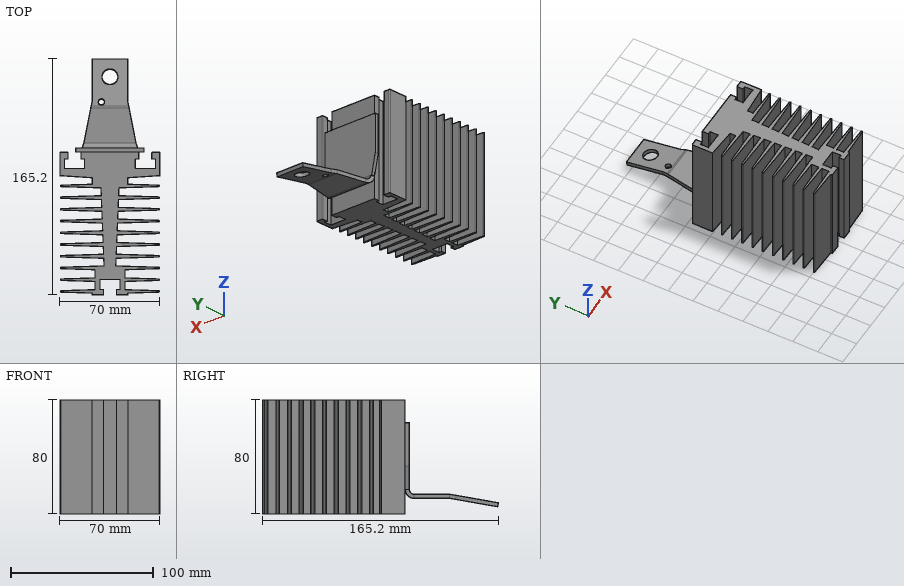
import cadquery as cq
import math


overall_length = 165.2

sink_width = 70.0
sink_depth = 100.0
sink_height = 80.0

slot_mouth = 9.0
slot_cavity = 13.9
slot_depth = 11.4
slot_lip = 5.0
hook_radius = 0.7
foot_slot_depth = 10.7
foot_slot_lip = 4.0
slot_offset = 24.8

flange_edge_depth = 16.5
flange_root_depth = 18.0
neck_width = 25.0

fin_count = 10
fin_span = 69.0
fin_tip_thickness = 1.2
fin_tip_radius = 0.5
fin_centre_thickness = 3.3
first_fin_y = 2.5
last_fin_y = 76.3
fin_pitch = (last_fin_y - first_fin_y) / (fin_count - 1)
core_width_at_head = 12.9
core_width_at_foot = 8.3
foot_box_width = 21.1
foot_box_fins = 3
foot_box_top = first_fin_y + (foot_box_fins - 1) * fin_pitch
foot_width = 25.0

sheet = 3.0
bend_inner = 3.3
bend_outer = bend_inner + sheet
plate_width = 47.9
plate_top = 64.0
plate_taper_start = 33.5
leg_top = 13.9
leg_length = 28.1
bend_start_width = 41.0
leg_start_width = 36.7
leg_end_width = 27.0
taper_length = 32.7
tab_width = 25.0
tab_tilt = 10.0
terminal_hole = 11.0
terminal_hole_setback = 12.5
pilot_hole = 4.3
pilot_hole_spacing = 17.8
pilot_hole_offset = 6.0


def sink_prism(points):
    """Close an XY outline and extrude it over the height of the sink."""
    return cq.Workplane("XY").polyline(points).close().extrude(sink_height)


def sink_block(width, y_low, y_high, x_centre=0.0):
    """Rectangular bar over the height of the sink."""
    bar = cq.Workplane("XY").center(x_centre, (y_low + y_high) / 2)
    return bar.rect(width, y_high - y_low).extrude(sink_height)


def fin_core():
    """Core between the fins, widening from the foot box to the head."""
    foot_half = core_width_at_foot / 2
    head_half = core_width_at_head / 2
    return sink_prism([
        (-foot_half, foot_box_top),
        (foot_half, foot_box_top),
        (head_half, last_fin_y),
        (-head_half, last_fin_y),
    ])


def fin_pair(y):
    """Left and right fin in one bar, thinning towards both rounded tips."""
    tip = fin_tip_thickness / 2
    middle = fin_centre_thickness / 2
    half_span = fin_span / 2
    fins = sink_prism([
        (-half_span, y - tip),
        (0, y - middle),
        (half_span, y - tip),
        (half_span, y + tip),
        (0, y + middle),
        (-half_span, y + tip),
    ])
    return fins.edges("|Z and (<X or >X)").fillet(fin_tip_radius)


def head_flange():
    """Head block with an underside that slopes towards the neck."""
    edge_y = sink_depth - flange_edge_depth
    root_y = sink_depth - flange_root_depth
    return sink_prism([
        (-sink_width / 2, sink_depth),
        (-sink_width / 2, edge_y),
        (-neck_width / 2, root_y),
        (neck_width / 2, root_y),
        (sink_width / 2, edge_y),
        (sink_width / 2, sink_depth),
    ])


def make_heat_sink():
    sink = head_flange()
    sink = sink.union(sink_block(neck_width, last_fin_y, sink_depth - flange_root_depth))
    sink = sink.union(fin_core())
    sink = sink.union(sink_block(foot_box_width, 0, foot_box_top))
    sink = sink.union(sink_block(foot_width, 0, first_fin_y))
    for index in range(fin_count):
        sink = sink.union(fin_pair(first_fin_y + index * fin_pitch))

    for side in (-1, 1):
        x = side * slot_offset
        sink = sink.cut(sink_block(slot_mouth, sink_depth - slot_lip, sink_depth, x))
        sink = sink.cut(sink_block(slot_cavity, sink_depth - slot_depth, sink_depth - slot_lip, x))
    sink = sink.cut(sink_block(slot_mouth, 0, foot_slot_lip))
    sink = sink.cut(sink_block(slot_cavity, foot_slot_lip, foot_slot_depth))

    mounting_edges = sink.edges("|Z").edges(">Y")
    return mounting_edges.filter(lambda edge: abs(edge.Center().x) > slot_offset).fillet(hook_radius)


plate_face = sink_depth + sheet
bend_end = plate_face + bend_inner
bend_z = leg_top + bend_inner
leg_bottom = leg_top - sheet
leg_end = plate_face + leg_length
tilt = math.radians(tab_tilt)
tilt_centre_z = leg_top - bend_outer


def on_tilt_bend(radius, angle):
    """Point of the tab bend at an angle from the end of the level leg."""
    return (leg_end + radius * math.sin(angle), tilt_centre_z + radius * math.cos(angle))


tab_start = on_tilt_bend(bend_outer, tilt)
tab_length = (overall_length - tab_start[0]) / math.cos(tilt)


def on_tab(along, below=0.0):
    """Point on the tab, by distance along its top face and depth under it."""
    return (
        tab_start[0] + along * math.cos(tilt) - below * math.sin(tilt),
        tab_start[1] - along * math.sin(tilt) - below * math.cos(tilt),
    )


def on_plate_bend(radius):
    """Middle of the quarter-circle between the plate and the level leg."""
    reach = radius * math.sqrt(0.5)
    return (bend_end - reach, bend_z - reach)


def bent_strip():
    """Sheet bent to the side profile, at the full width of the plate."""
    return (
        cq.Workplane("YZ")
        .moveTo(sink_depth, plate_top)
        .lineTo(sink_depth, bend_z)
        .threePointArc(on_plate_bend(bend_outer), (bend_end, leg_bottom))
        .lineTo(leg_end, leg_bottom)
        .threePointArc(on_tilt_bend(bend_inner, tilt / 2), on_tilt_bend(bend_inner, tilt))
        .lineTo(*on_tab(tab_length, sheet))
        .lineTo(*on_tab(tab_length))
        .lineTo(*tab_start)
        .threePointArc(on_tilt_bend(bend_outer, tilt / 2), (leg_end, leg_top))
        .lineTo(bend_end, leg_top)
        .threePointArc(on_plate_bend(bend_inner), (plate_face, bend_z))
        .lineTo(plate_face, plate_top)
        .close()
        .extrude(plate_width / 2, both=True)
    )


def plate_outline():
    """XZ outline above the bend: full-width plate, narrowing down to the bend."""
    plate = plate_width / 2
    bend = bend_start_width / 2
    return (
        cq.Workplane("XZ")
        .polyline([
            (-plate, plate_top),
            (-plate, plate_taper_start),
            (-bend, bend_z),
            (bend, bend_z),
            (plate, plate_taper_start),
            (plate, plate_top),
        ])
        .close()
        .extrude(-overall_length)
    )


def leg_outline():
    """XY outline from the bend down: narrowing over bend and leg to the tab width."""
    bend = bend_start_width / 2
    leg = leg_start_width / 2
    leg_tip = leg_end_width / 2
    tab = tab_width / 2
    taper_end = plate_face + taper_length
    return (
        cq.Workplane("XY")
        .polyline([
            (-bend, sink_depth),
            (bend, sink_depth),
            (leg, bend_end),
            (leg_tip, leg_end),
            (tab, taper_end),
            (tab, overall_length),
            (-tab, overall_length),
            (-tab, taper_end),
            (-leg_tip, leg_end),
            (-leg, bend_end),
        ])
        .close()
        .extrude(bend_z)
    )


def tab_hole(diameter, x, setback):
    """Cutter square to the tab, through its thickness, at a distance from its end."""
    y, z = on_tab(tab_length - setback, -sheet / 2)
    into_tab = cq.Vector(0, -math.sin(tilt), -math.cos(tilt))
    return cq.Solid.makeCylinder(diameter / 2, 2 * sheet, cq.Vector(x, y, z), into_tab)


def make_bracket():
    bracket = bent_strip().intersect(plate_outline().union(leg_outline()))
    bracket = bracket.cut(cq.Workplane(tab_hole(terminal_hole, 0, terminal_hole_setback)))
    pilot_setback = terminal_hole_setback + pilot_hole_spacing
    return bracket.cut(cq.Workplane(tab_hole(pilot_hole, -pilot_hole_offset, pilot_setback)))


heat_sink = make_heat_sink()
bracket = make_bracket()

result = cq.Compound.makeCompound([heat_sink.val(), bracket.val()])